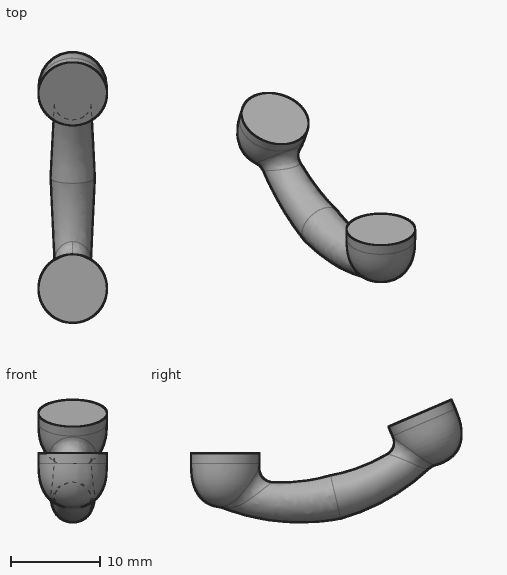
import math

import cadquery as cq

CUP_RADIUS = 7.7 / 2
RIM_HEIGHT = 1.15
CUP_DEPTH = 6.1
BOWL_SHOULDER_RADIUS = 3.35
BOWL_SHOULDER_DEPTH = 4.1
CUP_SPACING = 22.25
CUP_TILT = 23.2
HALF_TILT = CUP_TILT / 2

HANDLE_MID_RADIUS = 2.5
HANDLE_END_RADIUS = 1.85
HANDLE_DROP = 7.3
HANDLE_HALF_BEND = 36.0
HANDLE_LEAN = 1.8
HANDLE_BEND_RADIUS = 21.6

NECK_FILLET = 1.5
NEAR_NECK_CENTER = (0, 1.9, -4.8)
FAR_NECK_CENTER = (0, 21.2, -0.5)
NECK_REACH = 1.6


def rotate_about_x(shape, angle):
    """Turn a shape about the X axis, lifting its +Y side."""
    return shape.rotate((0, 0, 0), (1, 0, 0), angle)


def make_cup():
    """Cup facing up, with its rim centered on the origin."""
    profile = (
        cq.Workplane("XZ")
        .lineTo(CUP_RADIUS, 0)
        .lineTo(CUP_RADIUS, -RIM_HEIGHT)
        .spline(
            [(BOWL_SHOULDER_RADIUS, -BOWL_SHOULDER_DEPTH), (0, -CUP_DEPTH)],
            tangents=[(0, -1), (-1, 0)],
            includeCurrent=True,
        )
        .close()
    )
    return profile.revolve(360, (0, 0, 0), (0, 1, 0))


def bend_point(angle):
    """Point (y, z) on the handle axis, at a bend angle measured from the handle's middle."""
    turn = math.radians(angle)
    return (-HANDLE_BEND_RADIUS * math.sin(turn), HANDLE_BEND_RADIUS * (1 - math.cos(turn)))


def handle_section(angle, radius):
    """Round section wire across the handle axis."""
    turn = math.radians(angle)
    center = cq.Vector(0, *bend_point(angle))
    along_axis = cq.Vector(0, math.cos(turn), -math.sin(turn))
    return cq.Wire.makeCircle(radius, center, along_axis)


def make_handle():
    """Handle with the middle of its axis on the origin and its ends curving upward."""
    axis = (
        cq.Workplane("YZ")
        .moveTo(*bend_point(HANDLE_HALF_BEND))
        .threePointArc(bend_point(HANDLE_HALF_BEND / 2), bend_point(0))
    )
    sections = [
        handle_section(HANDLE_HALF_BEND, HANDLE_END_RADIUS),
        handle_section(0, HANDLE_MID_RADIUS),
    ]
    half = cq.Workplane(cq.Solid.sweep_multi(sections, axis.val()))
    return half.union(half.mirror("XZ"), clean=False)


def place_on_chord(shape, along, drop):
    """Move a shape from the origin to a spot measured along and below the rim-center line."""
    return rotate_about_x(shape.translate((0, along, -drop)), HALF_TILT)


def neck_edges(shape, center):
    """Edges where handle and cup meet, found in a small cube around the neck."""
    low = [value - NECK_REACH for value in center]
    high = [value + NECK_REACH for value in center]
    return shape.edges(cq.selectors.BoxSelector(low, high))


def fillet_necks(shape):
    """Blend the handle smoothly into both cups."""
    necks = neck_edges(shape, NEAR_NECK_CENTER).add(neck_edges(shape, FAR_NECK_CENTER))
    return necks.fillet(NECK_FILLET)


near_cup = make_cup()
far_cup = place_on_chord(rotate_about_x(make_cup(), HALF_TILT), CUP_SPACING, 0)
handle = place_on_chord(rotate_about_x(make_handle(), HANDLE_LEAN), CUP_SPACING / 2, HANDLE_DROP)

body = near_cup.union(handle, clean=False).union(far_cup, clean=False)
result = fillet_necks(body)